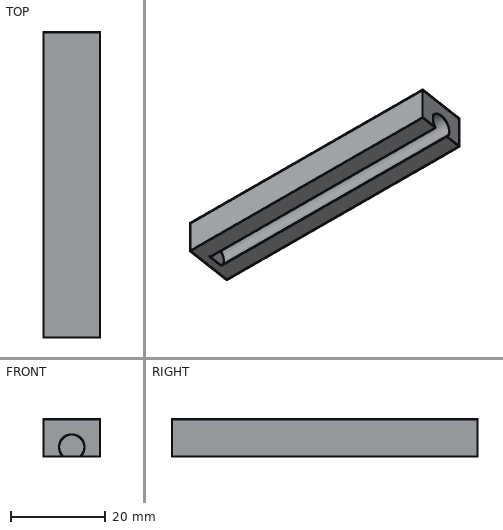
import cadquery as cq

width = 12.0
length = 65.0
height = 8.0

groove_diameter = 5.4
groove_axis_height = 2.0
end_wall = 2.0
groove_length = length - end_wall

bar = cq.Workplane("XY").box(width, length, height, centered=(True, True, False))

groove = (
    cq.Workplane("XZ", origin=(0, -length / 2, groove_axis_height))
    .circle(groove_diameter / 2)
    .extrude(-groove_length)
)

result = bar.cut(groove)